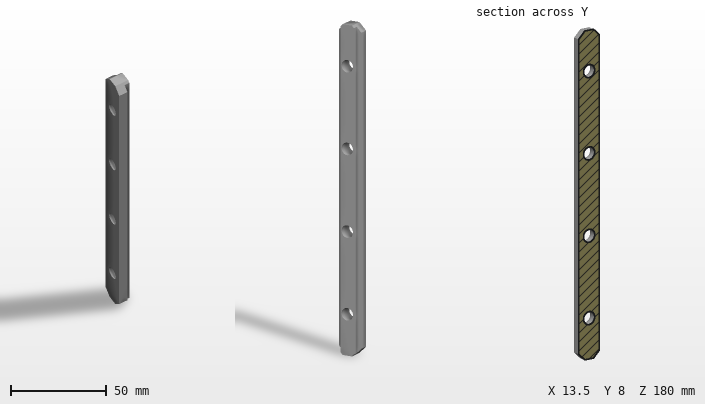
import cadquery as cq

length = 180.0
width = 13.5
thickness = 8.0

flange_thickness = 5.0
rib_width = 8.0

end_chamfer = 4.0

hole_count = 4
hole_pitch = length / hole_count
hole_diameter = 6.8


def bar_blank():
    """T-section bar centred on the origin."""
    flange = cq.Workplane("XY").box(width, flange_thickness, length)
    flange = flange.translate((0, (flange_thickness - thickness) / 2, 0))
    rib = cq.Workplane("XY").box(rib_width, thickness, length)
    return flange.union(rib)


def end_outline():
    """Full-depth block with chamfered corners that trims the bar ends."""
    return cq.Workplane("XY").box(width, thickness, length).edges("|Y").chamfer(end_chamfer)


def screw_holes():
    """Cylinders along Y, evenly spaced over the length."""
    return (
        cq.Workplane("XZ")
        .rarray(1.8, hole_pitch, 1, hole_count)
        .circle(hole_diameter / 2)
        .extrude(thickness, both=True)
    )


result = bar_blank().intersect(end_outline()).cut(screw_holes())